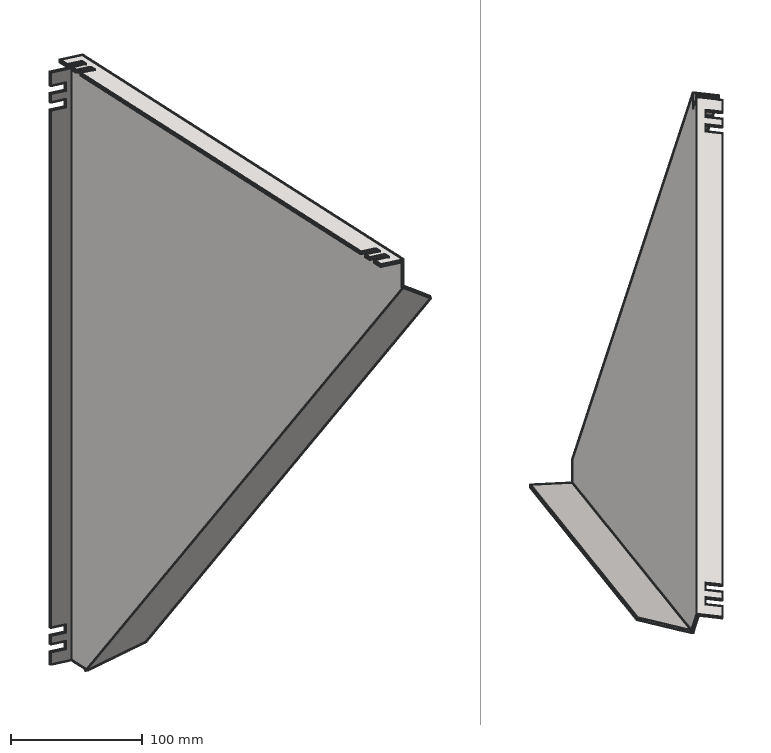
import cadquery as cq
import math

size = 501.0
thickness = 2.0
front_depth = 20.0
rear_depth = 37.0
corner_notch = 15.0
end_width = 23.0
rear_taper = 34.0
slot_width = 6.5
slot_depth = 13.0
slot_starts = (26.0, 39.5, 469.5, 483.0)

offset = thickness / math.sqrt(2)
flange_end = size - offset
slope_length = (size - end_width) * math.sqrt(2)


def box(x_range, y_range, z_range):
    """Axis-aligned box between pairs of limits."""
    lows, highs = zip(x_range, y_range, z_range)
    sizes = [high - low for low, high in zip(lows, highs)]
    return cq.Workplane("XY").box(*sizes, centered=False).translate(lows)


def make_panel():
    """Triangular sheet with blunt ends; its back face lies on Y = 0."""
    outline = [
        (0, offset),
        (end_width - offset, offset),
        (end_width, 0),
        (size, size - end_width),
        (flange_end, size - end_width + offset),
        (flange_end, size),
        (corner_notch, size),
        (corner_notch, size - corner_notch),
        (0, size - corner_notch),
    ]
    return cq.Workplane("XZ").polyline(outline).close().extrude(thickness)


def make_top_flange():
    """Slotted flange folded forward along the top edge."""
    top_layer = (size - thickness, size)
    flange = box((corner_notch, flange_end), (-front_depth, 0), top_layer)
    for start in slot_starts:
        slot = box((start, start + slot_width), (-front_depth, slot_depth - front_depth), top_layer)
        flange = flange.cut(slot)
    return flange


def make_rear_flange():
    """Tapered flange folded backward along the sloping edge."""
    slope_plane = cq.Plane(origin=(end_width, 0, 0), xDir=(1, 0, 1), normal=(-1, 0, 1))
    outline = [
        (0, 0),
        (slope_length, 0),
        (slope_length - rear_taper, rear_depth),
        (rear_taper, rear_depth),
    ]
    return cq.Workplane(slope_plane).polyline(outline).close().extrude(thickness)


top_flange = make_top_flange()

left_flange = top_flange.mirror(cq.Vector(1, 0, 1), (0, 0, size))

result = make_panel().union(top_flange).union(left_flange).union(make_rear_flange())